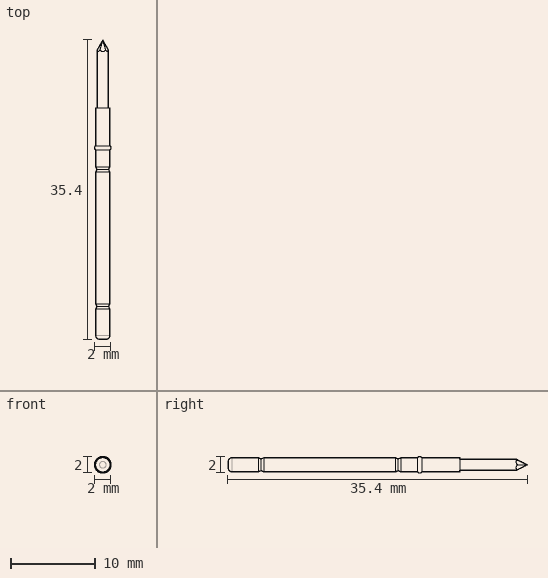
import cadquery as cq
import math

overall_length = 35.4

barrel_radius = 0.85
barrel_length = 27.4
tail_round = 0.45

groove_centers = (3.9, 20.1)
groove_width = 0.65
groove_depth = 0.15

ring_outer_radius = 1.0
ring_section_radius = 0.3
ring_center = 22.65

plunger_radius = 0.67
tip_sides = 6
ridge_half_angle = 30.0


def cylinder(radius, start, end):
    """Round bar on the pin axis between two places along Y."""
    return cq.Workplane("ZX", origin=(0, start, 0)).circle(radius).extrude(end - start)


def make_barrel():
    barrel = cylinder(barrel_radius, 0, barrel_length)
    return barrel.faces("<Y").edges().fillet(tail_round)


def make_groove(center):
    """Ring of triangular section whose point reaches the groove bottom."""
    half_width = groove_width / 2
    profile = (
        cq.Workplane("XY")
        .moveTo(barrel_radius - groove_depth, center)
        .lineTo(barrel_radius, center + half_width)
        .lineTo(barrel_radius, center - half_width)
        .close()
    )
    return profile.revolve(360, (0, 0, 0), (0, 1, 0))


def make_stop_ring():
    """Disc whose rim is a circular arc bulging out of the barrel."""
    arc_center_radius = ring_outer_radius - ring_section_radius
    profile = (
        cq.Workplane("XY")
        .moveTo(0, ring_center - ring_section_radius)
        .lineTo(arc_center_radius, ring_center - ring_section_radius)
        .threePointArc(
            (ring_outer_radius, ring_center),
            (arc_center_radius, ring_center + ring_section_radius),
        )
        .lineTo(0, ring_center + ring_section_radius)
        .close()
    )
    return profile.revolve(360, (0, 0, 0), (0, 1, 0))


def make_tip_wedge():
    """Wedge with its edge along X at the tip, giving two opposite tip facets facing +Z and -Z."""
    plunger_length = overall_length - barrel_length
    ridge_offset = plunger_length * math.tan(math.radians(ridge_half_angle))
    half_height = ridge_offset * math.cos(math.pi / tip_sides)
    profile = (
        cq.Workplane("YZ")
        .moveTo(overall_length, 0)
        .lineTo(barrel_length, half_height)
        .lineTo(barrel_length, -half_height)
        .close()
    )
    return profile.extrude(2 * plunger_radius, both=True)


def make_plunger():
    plunger = cylinder(plunger_radius, barrel_length, overall_length)
    wedge = make_tip_wedge()
    for index in range(tip_sides // 2):
        turn = index * 360 / tip_sides
        plunger = plunger.intersect(wedge.rotate((0, 0, 0), (0, 1, 0), turn))
    return plunger


result = make_barrel().union(make_stop_ring())
for groove_center in groove_centers:
    result = result.cut(make_groove(groove_center))
result = result.union(make_plunger())